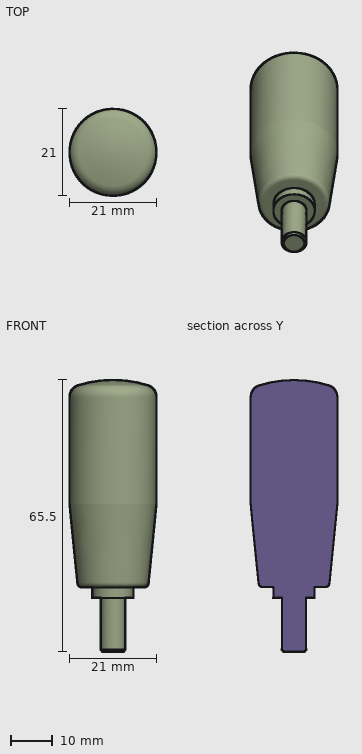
import cadquery as cq
import math

stud_diameter = 6.0
stud_length = 13.0
stud_chamfer = 0.5
collar_diameter = 10.0
collar_height = 2.5

grip_diameter = 21.0
grip_foot_diameter = 17.0
grip_height = 50.0
waist_height = 20.0
foot_round = 1.2
crown_round = 3.0
dome_radius = 28.0

stud_radius = stud_diameter / 2
collar_radius = collar_diameter / 2
grip_radius = grip_diameter / 2
foot_radius = grip_foot_diameter / 2
grip_bottom = collar_height
grip_top = grip_bottom + grip_height
waist_level = grip_bottom + waist_height


def make_stud():
    """Plain stud with a chamfered free end."""
    stud = cq.Workplane("XY").circle(stud_radius).extrude(-stud_length)
    return stud.faces("<Z").chamfer(stud_chamfer)


def make_collar():
    """Round collar between the stud and the grip."""
    return cq.Workplane("XY").circle(collar_radius).extrude(collar_height)


def make_grip():
    """Grip of revolution: tapered foot, straight body, rounded crown and a shallow dome."""
    round_center_radius = grip_radius - crown_round
    center_spacing = dome_radius - crown_round
    tilt = math.asin(round_center_radius / center_spacing)
    dome_center = grip_top - dome_radius
    round_center = dome_center + center_spacing * math.cos(tilt)

    def on_dome(angle):
        return dome_radius * math.sin(angle), dome_center + dome_radius * math.cos(angle)

    round_middle_angle = (tilt + math.pi / 2) / 2
    round_middle = (
        round_center_radius + crown_round * math.sin(round_middle_angle),
        round_center + crown_round * math.cos(round_middle_angle),
    )

    profile = (
        cq.Workplane("XZ")
        .moveTo(0, grip_bottom)
        .lineTo(foot_radius, grip_bottom)
        .lineTo(grip_radius, waist_level)
        .lineTo(grip_radius, round_center)
        .threePointArc(round_middle, on_dome(tilt))
        .threePointArc(on_dome(tilt / 2), (0, grip_top))
        .close()
    )
    grip = profile.revolve(360, (0, 0, 0), (0, 1, 0))
    return grip.faces("<Z").edges().fillet(foot_round)


result = make_stud().union(make_collar()).union(make_grip())